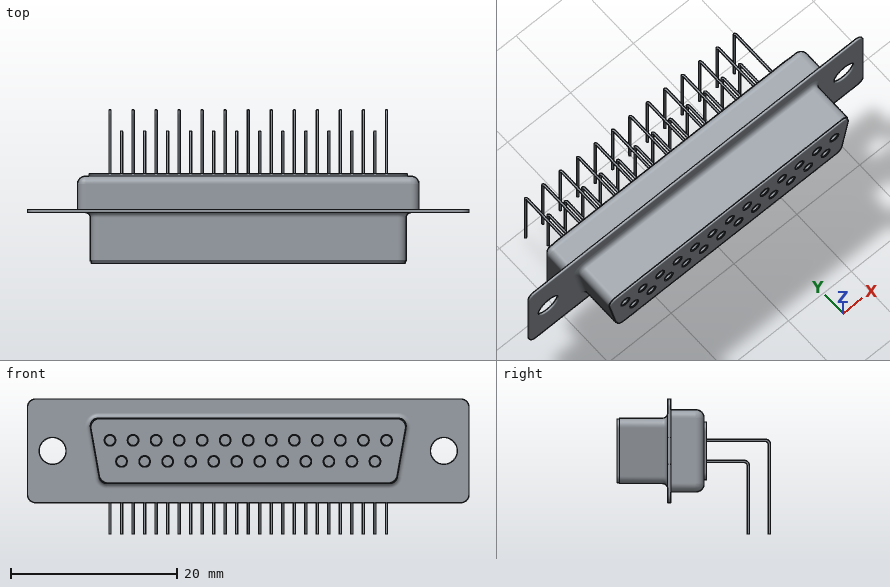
import cadquery as cq
import math


edge_fillet = 0.1

flange_width = 53.1
flange_height = 12.5
flange_thickness = 0.4
flange_corner_radius = 1.0
mount_hole_diameter = 3.2
mount_hole_spacing = 47.04

shell_width = 38.0
shell_height = 7.9
shell_depth = 6.1
shell_corner_radius = 1.0
shell_side_angle = math.radians(10)
shell_root_fillet = 0.6

face_inset = 0.1
face_protrusion = 0.3

housing_width = 41.1
housing_height = 9.9
housing_back = 4.4
housing_corner_radius = 1.0
housing_back_fillet = 0.99
insulator_width = 38.3
insulator_height = 7.0
insulator_back = 4.7

contact_pitch = 2.77
row_spacing = 2.54
upper_row_count = 13
lower_row_count = 12
socket_diameter = 1.2
socket_depth = 5.0
socket_chamfer = 0.1

pin_diameter = 0.3
pin_bend_radius = 0.5
overall_height = 16.27
pin_tip_z = flange_height / 2 - overall_height
overall_depth = 18.49
upper_pin_y = overall_depth - shell_depth - pin_diameter / 2
lower_pin_y = upper_pin_y - row_spacing
pin_embed = 1.0
pin_start_y = insulator_back - pin_embed

contact_rows = [
    (upper_row_count, row_spacing / 2, upper_pin_y),
    (lower_row_count, -row_spacing / 2, lower_pin_y),
]


def front_plane(y):
    """Sketch plane at the given Y, with X right and Z up; extrusion runs toward -Y."""
    return cq.Workplane("XZ", origin=(0, y, 0))


def row_positions(count):
    """X positions of one contact row, centred on the part."""
    return [(i - (count - 1) / 2) * contact_pitch for i in range(count)]


def d_prism(width, height, y_back, length):
    """D-shaped prism; width is measured across the rounded upper corners."""
    radius = shell_corner_radius
    half_top = width / 2 - radius + radius * math.tan(math.pi / 4 + shell_side_angle / 2)
    half_bottom = half_top - height * math.tan(shell_side_angle)
    outline = [
        (-half_top, height / 2),
        (half_top, height / 2),
        (half_bottom, -height / 2),
        (-half_bottom, -height / 2),
    ]
    prism = front_plane(y_back).polyline(outline).close().extrude(length)
    return prism.edges("|Y").fillet(radius)


def make_flange():
    plate = front_plane(flange_thickness).rect(flange_width, flange_height).extrude(flange_thickness)
    plate = plate.edges("|Y").fillet(flange_corner_radius)
    centres = [(-mount_hole_spacing / 2, 0), (mount_hole_spacing / 2, 0)]
    holes = front_plane(flange_thickness).pushPoints(centres).circle(mount_hole_diameter / 2)
    plate = plate.cut(holes.extrude(flange_thickness))
    return plate.faces("<Y or >Y").edges().fillet(edge_fillet)


def make_shell():
    rim_depth = shell_depth - face_protrusion
    shell = d_prism(shell_width, shell_height, flange_thickness, rim_depth + flange_thickness)
    face_width = shell_width - 2 * face_inset
    face_height = shell_height - 2 * face_inset
    face = d_prism(face_width, face_height, -rim_depth, face_protrusion)
    return shell.union(face.faces("<Y").edges().fillet(edge_fillet))


def fillet_shell_root(body):
    """Blend the shell into the front face of the flange."""
    reach_x = (shell_width + housing_width) / 4
    reach_y = flange_thickness / 4
    reach_z = (shell_height + flange_height) / 4
    selector = cq.selectors.BoxSelector((-reach_x, -reach_y, -reach_z), (reach_x, reach_y, reach_z))
    return body.edges(selector).fillet(shell_root_fillet)


def make_housing():
    housing = front_plane(housing_back).rect(housing_width, housing_height).extrude(housing_back)
    housing = housing.edges("|Y").fillet(housing_corner_radius)
    return housing.faces(">Y").edges().fillet(housing_back_fillet)


def make_insulator():
    insulator = d_prism(insulator_width, insulator_height, insulator_back, insulator_back)
    return insulator.faces(">Y").edges().fillet(edge_fillet)


def make_pin(x, z, leg_y):
    """Round pin leaving the insulator along +Y, then bent down to the tip."""
    path = (
        cq.Workplane("YZ", origin=(x, 0, 0))
        .moveTo(pin_start_y, z)
        .lineTo(leg_y - pin_bend_radius, z)
        .radiusArc((leg_y, z - pin_bend_radius), pin_bend_radius)
        .lineTo(leg_y, pin_tip_z)
    )
    section = cq.Workplane("XZ", origin=(x, pin_start_y, z)).circle(pin_diameter / 2)
    return section.sweep(path)


def make_socket_cutter():
    """Blind round hole with a chamfered mouth, centred on the insulator face."""
    radius = socket_diameter / 2
    profile = [
        (0, 0),
        (radius + socket_chamfer, 0),
        (radius, socket_chamfer),
        (radius, socket_depth),
        (0, socket_depth),
    ]
    return cq.Workplane("XY").polyline(profile).close().revolve(360, (0, 0, 0), (0, 1, 0))


def cut_sockets(body):
    cutter = make_socket_cutter()
    for count, z, _ in contact_rows:
        for x in row_positions(count):
            body = body.cut(cutter.translate((x, -shell_depth, z)))
    return body


def add_pins(body):
    for count, z, leg_y in contact_rows:
        for x in row_positions(count):
            body = body.union(make_pin(x, z, leg_y))
    return body


result = make_flange().union(make_shell())
result = fillet_shell_root(result)
result = result.union(make_housing()).union(make_insulator())
result = cut_sockets(result)
result = add_pins(result)